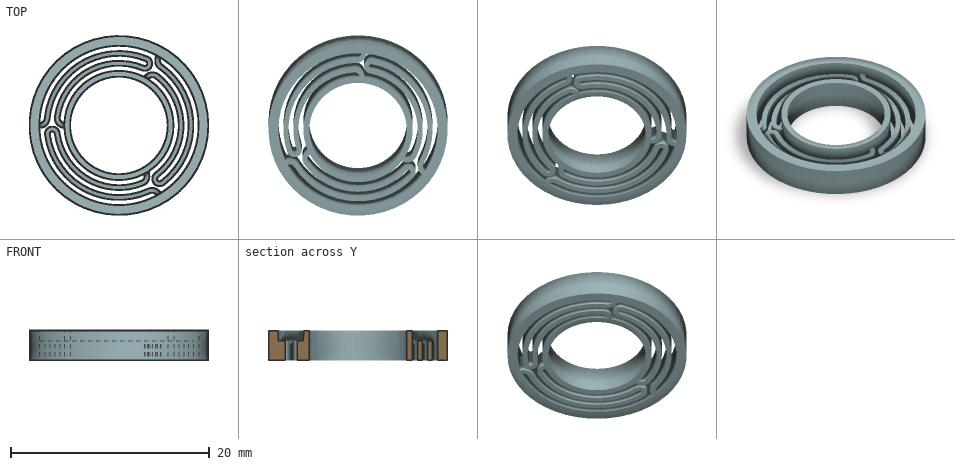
import cadquery as cq
import math

height = 3.0
rim_outer_radius = 9.0
rim_inner_radius = 16.0 / 2
hub_outer_radius = 11.0 / 2
hub_bore_radius = 9.8 / 2

spring_count = 3
spring_pitch = 360 / spring_count
spring_width = 0.5
spring_recess = 1.0
spring_height = height - spring_recess
fold_angle = 67.3
end_bend_radius = 0.75
outer_arm_radius = rim_inner_radius - end_bend_radius
inner_arm_radius = hub_outer_radius + end_bend_radius
fold_radius = (outer_arm_radius + inner_arm_radius) / 2
root_overlap = 0.18


def polar(radius, angle):
    """Point at a radius and an angle in degrees around the ring axis."""
    return (radius * math.cos(math.radians(angle)), radius * math.sin(math.radians(angle)))


def ring(outer_radius, inner_radius):
    return cq.Workplane("XY").circle(outer_radius).circle(inner_radius).extrude(height)


def end_bend(ring_radius):
    """Angle around the ring axis of a bend's centre, and the centre point itself.

    The bend is centred on the ring's edge, and its lowest point lies on the X axis.
    """
    center_angle = 180 - math.degrees(math.asin(end_bend_radius / ring_radius))
    return center_angle, polar(ring_radius, center_angle)


def bend_point(center, angle):
    """Point on a bend's centreline, in a direction seen from the bend's centre."""
    offset = polar(end_bend_radius, angle)
    return (center[0] + offset[0], center[1] + offset[1])


def spring():
    """One spring: rim, bend, outer arm, fold, inner arm, bend, hub."""
    outer_angle, outer_center = end_bend(rim_inner_radius)
    inner_angle, inner_center = end_bend(hub_outer_radius)
    down = -90
    outer_root = bend_point(outer_center, down)
    inner_root = bend_point(inner_center, down)
    outer_mid = bend_point(outer_center, (outer_angle - 180 + down) / 2)
    inner_mid = bend_point(inner_center, (inner_angle + 360 + down) / 2)

    fold_half_gap = (outer_arm_radius - inner_arm_radius) / 2
    fold_center = polar(fold_radius, fold_angle)
    fold_bulge = polar(fold_half_gap, fold_angle - 90)
    fold_tip = (fold_center[0] + fold_bulge[0], fold_center[1] + fold_bulge[1])

    centerline = (
        cq.Workplane("XY")
        .moveTo(outer_root[0] - root_overlap, outer_root[1])
        .lineTo(*outer_root)
        .threePointArc(outer_mid, polar(outer_arm_radius, outer_angle))
        .threePointArc(
            polar(outer_arm_radius, (outer_angle + fold_angle) / 2),
            polar(outer_arm_radius, fold_angle),
        )
        .threePointArc(fold_tip, polar(inner_arm_radius, fold_angle))
        .threePointArc(
            polar(inner_arm_radius, (inner_angle + fold_angle) / 2),
            polar(inner_arm_radius, inner_angle),
        )
        .threePointArc(inner_mid, inner_root)
        .lineTo(inner_root[0] + root_overlap, inner_root[1])
    )
    section = (
        cq.Workplane("YZ", origin=(outer_root[0] - root_overlap, outer_root[1], 0))
        .center(0, spring_height / 2)
        .rect(spring_width, spring_height)
    )
    return section.sweep(centerline)


result = ring(rim_outer_radius, rim_inner_radius).union(ring(hub_outer_radius, hub_bore_radius))
base_spring = spring()
for index in range(spring_count):
    result = result.union(base_spring.rotate((0, 0, 0), (0, 0, 1), index * spring_pitch))